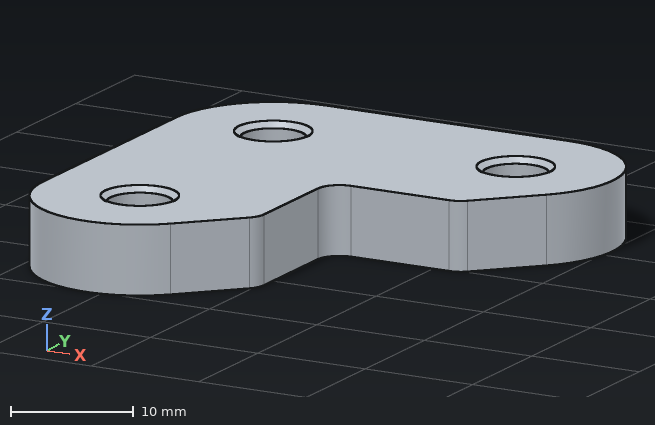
import cadquery as cq
import math

side = 40.6
thickness = 6.0
end_radius = 9.0
arm_width = 20.7
inner_radius = 2.0

hole_diameter = 5.4
countersink_diameter = 6.4
countersink_angle = 90.0

half = side / 2
hole_offset = half - end_radius
inner_edge = arm_width - half
hole_centers = [
    (-hole_offset, hole_offset),
    (hole_offset, hole_offset),
    (-hole_offset, -hole_offset),
]

diagonal = end_radius * math.sqrt(0.5)
flank_start = hole_offset + diagonal
flank_end = flank_start - (hole_offset - diagonal + inner_edge)


def plate():
    """L-shaped plate with round ends and softened inner corners."""
    inner_corners = [
        (flank_end, -inner_edge),
        (inner_edge, -inner_edge),
        (inner_edge, -flank_end),
    ]
    outline = (
        cq.Workplane("XY")
        .moveTo(-hole_offset, half)
        .lineTo(hole_offset, half)
        .threePointArc((half, hole_offset), (flank_start, hole_offset - diagonal))
        .polyline(inner_corners, includeCurrent=True)
        .lineTo(diagonal - hole_offset, -flank_start)
        .threePointArc((-hole_offset, -half), (-half, -hole_offset))
        .lineTo(-half, hole_offset)
        .threePointArc((-flank_start, flank_start), (-hole_offset, half))
        .close()
    )
    body = outline.extrude(thickness)
    for x, y in inner_corners:
        corner_edge = cq.selectors.NearestToPointSelector((x, y, thickness / 2))
        body = body.edges("|Z").edges(corner_edge).fillet(inner_radius)
    return body


result = (
    plate()
    .faces(">Z")
    .workplane(origin=(0, 0, thickness))
    .pushPoints(hole_centers)
    .cskHole(hole_diameter, countersink_diameter, countersink_angle)
)